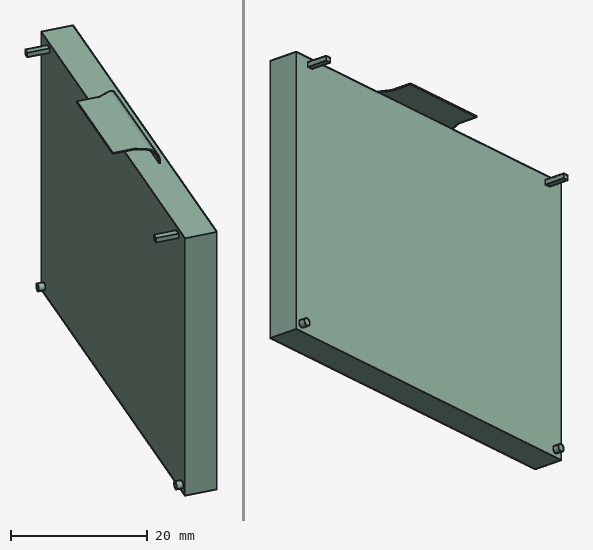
import cadquery as cq
import math

panel_width = 60.1
panel_depth = 5.0
panel_height = 44.55
half_panel = panel_width / 2

pin_width = 0.95
pin_height = 0.8
pin_length = 3.5
pin_side_inset = 3.1
pin_top_inset = 1.15

stud_diameter = 1.2
stud_length = 1.0
stud_inset = 1.25

cable_thickness = 0.2
cable_rise = 2.0
cable_rear_y = -1.15
cable_tip_y = -7.8
bend_radius = 1.6
tip_half_width = 7.5
flare_front_y = -4.3
flare_slope = 0.47

bend_front_y = cable_rear_y - bend_radius
bend_inner_radius = bend_radius - cable_thickness
bend_center_z = cable_rise - bend_radius
base_outer_y = bend_front_y + math.sqrt(bend_radius**2 - bend_center_z**2)
base_inner_y = bend_front_y + math.sqrt(bend_inner_radius**2 - bend_center_z**2)
bend_front_half_width = tip_half_width + flare_slope * (bend_front_y - flare_front_y)
bend_rear_half_width = bend_front_half_width + flare_slope * bend_radius * math.pi / 2
base_half_width = bend_rear_half_width + flare_slope * bend_center_z


def front_block(width, height, length, x, z):
    """Rectangular pin standing on the panel's front face."""
    return cq.Workplane("XY").box(width, length, height).translate((x, -panel_depth - length / 2, z))


def front_stud(x, z):
    """Round stud standing on the panel's front face."""
    plane = cq.Workplane("XZ", origin=(x, -panel_depth, z))
    return plane.circle(stud_diameter / 2).extrude(stud_length)


def make_panel():
    """Slab with its pins and studs."""
    body = cq.Workplane("XY").box(panel_width, panel_depth, panel_height, centered=(True, False, False))
    body = body.translate((0, -panel_depth, 0))
    for side in (-1, 1):
        pin_x = side * (half_panel - pin_side_inset)
        pin_z = panel_height - pin_top_inset
        body = body.union(front_block(pin_width, pin_height, pin_length, pin_x, pin_z))
        body = body.union(front_stud(side * (half_panel - stud_inset), stud_inset))
    return body


def bent_strip():
    """Constant-width strip: one arc rising from the panel, just past a quarter turn, and a level tip."""
    diagonal = math.sqrt(0.5)
    outer_reach = bend_radius * diagonal
    inner_reach = bend_inner_radius * diagonal
    inner_top = cable_rise - cable_thickness
    profile = (
        cq.Workplane("YZ", origin=(0, 0, panel_height))
        .moveTo(base_outer_y, 0)
        .threePointArc((bend_front_y + outer_reach, bend_center_z + outer_reach), (bend_front_y, cable_rise))
        .lineTo(cable_tip_y, cable_rise)
        .lineTo(cable_tip_y, inner_top)
        .lineTo(bend_front_y, inner_top)
        .threePointArc((bend_front_y + inner_reach, bend_center_z + inner_reach), (base_inner_y, 0))
        .close()
    )
    return profile.extrude(base_half_width, both=True)


def plan_outline():
    """Prism that flares the tip and the bend, seen along Z."""
    half = (
        cq.Workplane("XY", origin=(0, 0, panel_height))
        .moveTo(0, cable_tip_y)
        .lineTo(tip_half_width, cable_tip_y)
        .lineTo(tip_half_width, flare_front_y)
        .lineTo(bend_front_half_width, bend_front_y)
        .tangentArcPoint((bend_rear_half_width, base_inner_y), relative=False)
        .lineTo(base_half_width, base_inner_y)
        .lineTo(base_half_width, cable_rear_y)
        .lineTo(0, cable_rear_y)
        .close()
        .extrude(cable_rise)
    )
    return half.union(half.mirror("YZ"))


def upright_outline():
    """Prism that narrows the rear of the bend upwards, seen along Y."""
    top_half_width = base_half_width - flare_slope * cable_rise
    return (
        cq.Workplane("XZ", origin=(0, 0, panel_height))
        .polyline([
            (-base_half_width, 0),
            (base_half_width, 0),
            (top_half_width, cable_rise),
            (-top_half_width, cable_rise),
        ])
        .close()
        .extrude(-cable_tip_y)
    )


def make_cable():
    """Bent, flared flat cable resting on the panel's top face."""
    return bent_strip().intersect(plan_outline()).intersect(upright_outline())


panel = make_panel()
cable = make_cable()
result = cq.Compound.makeCompound([panel.val(), cable.val()])